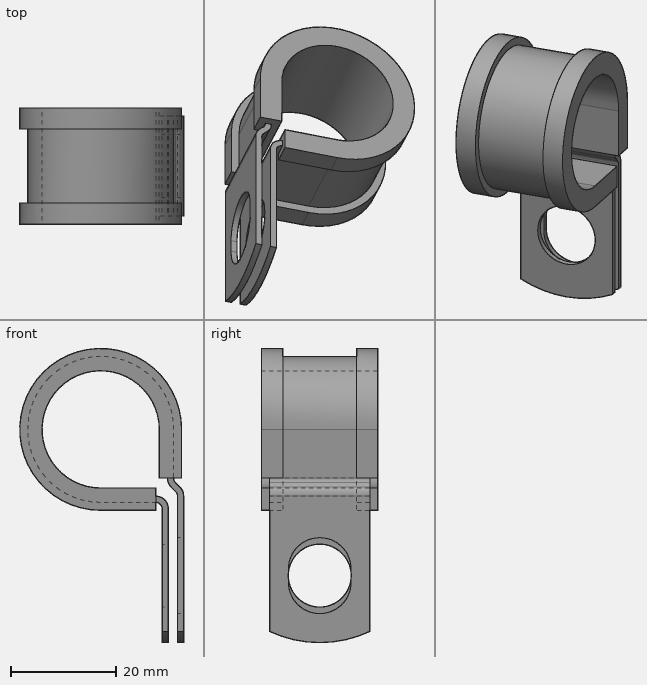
import cadquery as cq
import math


cushion_outer_radius = 15.37
cushion_inner_radius = 11.1
cushion_width = 22.1
groove_width = 14.0
side_end_z = -9.25
base_end_x = 10.45

strap_outer_radius = 13.85
strap_thickness = 1.2
strap_width = 19.0
strap_inner_radius = strap_outer_radius - strap_thickness
bend_inner_radius = 1.2
bend_outer_radius = bend_inner_radius + strap_thickness
offset_bend_angle = math.radians(45)

outer_tab_face_x = 15.76
tab_tip_z = -40.47
tab_tip_rise = 2.12
hole_diameter = 11.9
hole_z = -27.74
slot_travel = 2.5
cutter_length = 2 * outer_tab_face_x


def p_band(outer_radius, inner_radius, width):
    """Three-quarter ring with a straight vertical side and a straight base, centred on Y."""
    return (
        cq.Workplane("XZ")
        .moveTo(outer_radius, side_end_z)
        .lineTo(outer_radius, 0)
        .threePointArc(diagonal_point(outer_radius), (0, -outer_radius))
        .lineTo(base_end_x, -outer_radius)
        .lineTo(base_end_x, -inner_radius)
        .lineTo(0, -inner_radius)
        .threePointArc(diagonal_point(inner_radius), (inner_radius, 0))
        .lineTo(inner_radius, side_end_z)
        .close()
        .extrude(width / 2, both=True)
    )


def diagonal_point(radius):
    """Middle of the three-quarter arc, on its upper left."""
    return (-radius * math.sqrt(0.5), radius * math.sqrt(0.5))


def arc_point(center, radius, angle):
    return (center[0] + radius * math.cos(angle), center[1] + radius * math.sin(angle))


def make_cushion():
    full = p_band(cushion_outer_radius, cushion_inner_radius, cushion_width)
    rim_layer = p_band(cushion_outer_radius, strap_outer_radius, groove_width)
    return full.cut(rim_layer)


def make_inner_tab():
    """Tab that turns down from the base through a quarter bend."""
    center = (base_end_x, -strap_inner_radius - bend_outer_radius)
    quarter = math.pi / 2
    mid = quarter / 2
    outer_face_x = center[0] + bend_outer_radius
    inner_face_x = center[0] + bend_inner_radius
    return (
        cq.Workplane("XZ")
        .moveTo(*arc_point(center, bend_outer_radius, quarter))
        .threePointArc(arc_point(center, bend_outer_radius, mid), (outer_face_x, center[1]))
        .lineTo(outer_face_x, tab_tip_z)
        .lineTo(inner_face_x, tab_tip_z)
        .lineTo(inner_face_x, center[1])
        .threePointArc(
            arc_point(center, bend_inner_radius, mid),
            arc_point(center, bend_inner_radius, quarter),
        )
        .close()
        .extrude(strap_width / 2, both=True)
    )


def make_outer_tab():
    """Tab that steps outward from the side through two opposite bends, then runs down."""
    angle = offset_bend_angle
    mean_radius = (bend_inner_radius + bend_outer_radius) / 2
    step = outer_tab_face_x - strap_outer_radius
    slant_x = step - 2 * mean_radius * (1 - math.cos(angle))
    step_height = 2 * mean_radius * math.sin(angle) + slant_x / math.tan(angle)

    upper = (strap_outer_radius + bend_inner_radius, side_end_z)
    lower = (outer_tab_face_x - bend_outer_radius, side_end_z - step_height)
    upper_mid = math.pi + angle / 2
    upper_end = math.pi + angle
    lower_mid = angle / 2
    tab_inner_x = outer_tab_face_x - strap_thickness
    return (
        cq.Workplane("XZ")
        .moveTo(strap_outer_radius, side_end_z)
        .threePointArc(
            arc_point(upper, bend_inner_radius, upper_mid),
            arc_point(upper, bend_inner_radius, upper_end),
        )
        .lineTo(*arc_point(lower, bend_outer_radius, angle))
        .threePointArc(
            arc_point(lower, bend_outer_radius, lower_mid),
            (outer_tab_face_x, lower[1]),
        )
        .lineTo(outer_tab_face_x, tab_tip_z)
        .lineTo(tab_inner_x, tab_tip_z)
        .lineTo(tab_inner_x, lower[1])
        .threePointArc(
            arc_point(lower, bend_inner_radius, lower_mid),
            arc_point(lower, bend_inner_radius, angle),
        )
        .lineTo(*arc_point(upper, bend_outer_radius, upper_end))
        .threePointArc(
            arc_point(upper, bend_outer_radius, upper_mid),
            (strap_inner_radius, side_end_z),
        )
        .close()
        .extrude(strap_width / 2, both=True)
    )


def make_tab_envelope():
    """Tab outline seen along X: straight edges and a rounded tip."""
    half_width = strap_width / 2
    corner_z = tab_tip_z + tab_tip_rise
    return (
        cq.Workplane("YZ")
        .moveTo(-half_width, 0)
        .lineTo(-half_width, corner_z)
        .threePointArc((0, tab_tip_z), (half_width, corner_z))
        .lineTo(half_width, 0)
        .close()
        .extrude(cutter_length)
    )


def make_round_hole():
    return (
        cq.Workplane("YZ")
        .center(0, hole_z)
        .circle(hole_diameter / 2)
        .extrude(cutter_length)
    )


def make_slot():
    """Upright slot sharing the width and centre of the round hole."""
    return (
        cq.Workplane("YZ")
        .center(0, hole_z)
        .slot2D(hole_diameter + slot_travel, hole_diameter, 90)
        .extrude(cutter_length)
    )


tab_envelope = make_tab_envelope()
inner_tab = make_inner_tab().intersect(tab_envelope).cut(make_round_hole())
outer_tab = make_outer_tab().intersect(tab_envelope).cut(make_slot())
result = make_cushion().union(inner_tab).union(outer_tab)